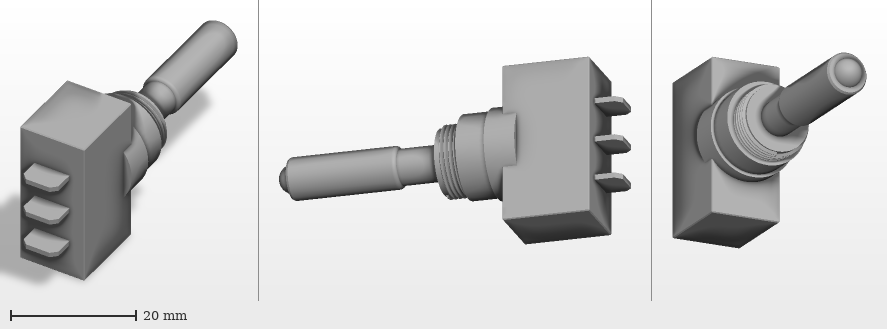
import cadquery as cq


block_width = 12.0
block_depth = 14.55
block_height = 26.2
block_chamfer = 0.2

terminal_count = 3
terminal_pitch = 6.5
terminal_width = 6.5
terminal_thickness = 0.85
terminal_length = 4.4
terminal_chamfer = 1.05

collar_offset_z = 0.4
flange_diameter = 15.0
step_diameter = 14.0
collar_overlap = 2.5
flange_thickness = 5.1
step_thickness = 4.95
collar_start = block_depth - collar_overlap
flange_end = collar_start + flange_thickness
collar_end = flange_end + step_thickness

neck_diameter = 11.0
neck_exposed = 4.0
neck_end = collar_end + neck_exposed
thread_diameter = 12.0
thread_pitch = 0.75
thread_base = 0.65
thread_crest = 0.1
thread_embed = 0.1
thread_lead_in = 0.5
thread_start = neck_end - thread_lead_in

shaft_diameter = 6.0
shaft_length = 7.0
grip_diameter = 7.0
grip_tip_diameter = 6.5
grip_shoulder_radius = 0.75
grip_tip_bevel = 0.4
dome_radius = 2.45
dome_height = 2.05
lever_tip = 58.0 - terminal_length
grip_start = neck_end + shaft_length
grip_end = lever_tip - dome_height


def cylinder_along_y(diameter, start, end, center_z=0.0):
    length = end - start
    return cq.Workplane("XZ", origin=(0, start, center_z)).circle(diameter / 2).extrude(-length)


def make_block():
    block = cq.Workplane("XY").box(block_width, block_depth, block_height)
    return block.edges().chamfer(block_chamfer).translate((0, block_depth / 2, 0))


def make_terminal(center_z):
    blade = cq.Workplane("XY").box(terminal_width, terminal_length, terminal_thickness)
    blade = blade.faces("<Y").edges("|Z").chamfer(terminal_chamfer)
    return blade.translate((0, -terminal_length / 2, center_z))


def make_thread():
    """Right-handed ridge that starts at the bottom of the neck and runs back to the collar."""
    root_radius = neck_diameter / 2 - thread_embed
    crest_radius = thread_diameter / 2
    helix_length = thread_start - collar_end + thread_pitch
    helix = cq.Wire.makeHelix(thread_pitch, helix_length, root_radius)
    profile = cq.Workplane("XZ").polyline([
        (root_radius, -thread_base / 2),
        (crest_radius, -thread_crest / 2),
        (crest_radius, thread_crest / 2),
        (root_radius, thread_base / 2),
    ]).close()
    ridge = profile.sweep(cq.Workplane(obj=helix), isFrenet=True)
    ridge = ridge.rotate((0, 0, 0), (0, 0, 1), -90)
    ridge = ridge.rotate((0, 0, 0), (1, 0, 0), 90).translate((0, thread_start, 0))
    return ridge.intersect(cylinder_along_y(flange_diameter, collar_end, neck_end))


def make_lever():
    """Shaft, rounded grip shoulder, grip and bevelled tip, revolved about Y, plus the dome."""
    shaft_radius = shaft_diameter / 2
    grip_radius = grip_diameter / 2
    shoulder_height = grip_radius - shaft_radius
    arc_reach = (grip_shoulder_radius**2 - (grip_shoulder_radius - shoulder_height)**2) ** 0.5
    arc_center_y = grip_start + arc_reach
    lever = (
        cq.Workplane("XY")
        .moveTo(0, neck_end)
        .lineTo(shaft_radius, neck_end)
        .lineTo(shaft_radius, grip_start)
        .radiusArc((grip_radius, arc_center_y), -grip_shoulder_radius)
        .lineTo(grip_radius, grip_end - grip_tip_bevel)
        .lineTo(grip_tip_diameter / 2, grip_end)
        .lineTo(0, grip_end)
        .close()
        .revolve(360, (0, 0), (0, 1))
    )
    dome = cq.Workplane("XY").sphere(dome_radius).translate((0, lever_tip - dome_radius, 0))
    return lever.union(dome)


def make_switch():
    switch = make_block()
    for index in range(terminal_count):
        center_z = (index - (terminal_count - 1) / 2) * terminal_pitch
        switch = switch.union(make_terminal(center_z))
    neck = cylinder_along_y(neck_diameter, block_depth, neck_end)
    return switch.union(neck.union(make_thread())).union(make_lever())


def make_collar():
    flange = cylinder_along_y(flange_diameter, collar_start, flange_end, collar_offset_z)
    step = cylinder_along_y(step_diameter, flange_end, collar_end, collar_offset_z)
    neck_bore = cylinder_along_y(neck_diameter, collar_start, collar_end)
    block_slot = cq.Workplane("XY").box(block_width, block_depth, block_height)
    block_slot = block_slot.translate((0, block_depth / 2, 0))
    return flange.union(step).cut(neck_bore).cut(block_slot)


switch = make_switch()
collar = make_collar()

result = cq.Compound.makeCompound([switch.solids().val(), collar.solids().val()])